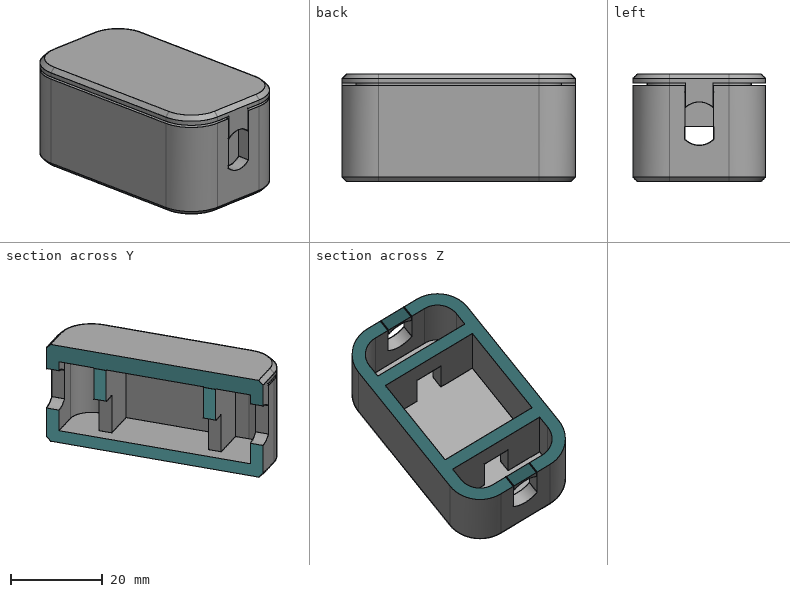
import cadquery as cq

LENGTH = 51.0
WIDTH = 29.0
HEIGHT = 23.5
CORNER_RADIUS = 8.0
EDGE_CHAMFER = 1.0

WALL = 3.0
LID_THICKNESS = 2.0
LID_GAP = 0.5
FIT_CLEARANCE = 0.1
BASE_HEIGHT = HEIGHT - LID_THICKNESS - LID_GAP
LID_BOTTOM = HEIGHT - LID_THICKNESS
PLUG_DEPTH = 2.0
PLUG_BOTTOM = LID_BOTTOM - PLUG_DEPTH

SLOT_WIDTH = 6.25
TAB_WIDTH = 6.0
HOLE_ARC_RADIUS = 4.4
HOLE_BOTTOM = 7.95
HOLE_TOP = 17.4
HOLE_HEIGHT = (HOLE_BOTTOM + HOLE_TOP) / 2

PARTITION_SETBACK = 11.1
PARTITION_THICKNESS = WALL
PASSAGE_TOP = 12.0


def rounded_block(inset, bottom, top):
    """Block with the box outline moved inward by inset."""
    return (
        cq.Workplane("XY")
        .workplane(offset=bottom)
        .rect(LENGTH - 2 * inset, WIDTH - 2 * inset)
        .extrude(top - bottom)
        .edges("|Z")
        .fillet(CORNER_RADIUS - inset)
    )


def long_bar(width, bottom, top):
    """Bar along X through both end walls."""
    return cq.Workplane("XY").box(LENGTH, width, top - bottom, centered=(True, True, False)).translate(
        (0, 0, bottom)
    )


def cable_cylinder(center_height):
    """Cylinder along X that shapes a rounded end of the cable openings."""
    return (
        cq.Workplane("YZ")
        .workplane(offset=-LENGTH / 2)
        .center(0, center_height)
        .circle(HOLE_ARC_RADIUS)
        .extrude(LENGTH)
    )


def make_partition(side):
    """Wall from cavity floor to lid plug, with a cable passage; side is -1 or 1 along X."""
    center_x = side * (LENGTH / 2 - PARTITION_SETBACK - PARTITION_THICKNESS / 2)
    wall = (
        cq.Workplane("XY")
        .box(PARTITION_THICKNESS, WIDTH - 2 * WALL, PLUG_BOTTOM - WALL, centered=(True, True, False))
        .translate((center_x, 0, WALL))
    )
    return wall.cut(long_bar(SLOT_WIDTH, WALL, PASSAGE_TOP))


def make_base():
    outer = rounded_block(0, 0, BASE_HEIGHT).faces("<Z").chamfer(EDGE_CHAMFER)
    cavity = rounded_block(WALL, WALL, BASE_HEIGHT)
    slot = long_bar(SLOT_WIDTH, HOLE_HEIGHT, BASE_HEIGHT)
    lower_cylinder = cable_cylinder(HOLE_BOTTOM + HOLE_ARC_RADIUS)
    rounded_end = lower_cylinder.intersect(long_bar(SLOT_WIDTH, 0, HOLE_HEIGHT))
    base = outer.cut(cavity).cut(slot).cut(rounded_end)
    for side in (-1, 1):
        base = base.union(make_partition(side))
    return base


def make_lid():
    plate = rounded_block(0, LID_BOTTOM, HEIGHT).faces(">Z").chamfer(EDGE_CHAMFER)
    plug_inset = WALL + FIT_CLEARANCE
    plug = rounded_block(plug_inset, PLUG_BOTTOM, LID_BOTTOM)
    upper_cylinder = cable_cylinder(HOLE_TOP - HOLE_ARC_RADIUS)
    cavity = rounded_block(WALL, WALL, PLUG_BOTTOM)
    tabs = long_bar(TAB_WIDTH, HOLE_HEIGHT, LID_BOTTOM).cut(upper_cylinder).cut(cavity)
    return plate.union(plug).union(tabs)


base = make_base()
lid = make_lid()
result = cq.Compound.makeCompound([base.val(), lid.val()])